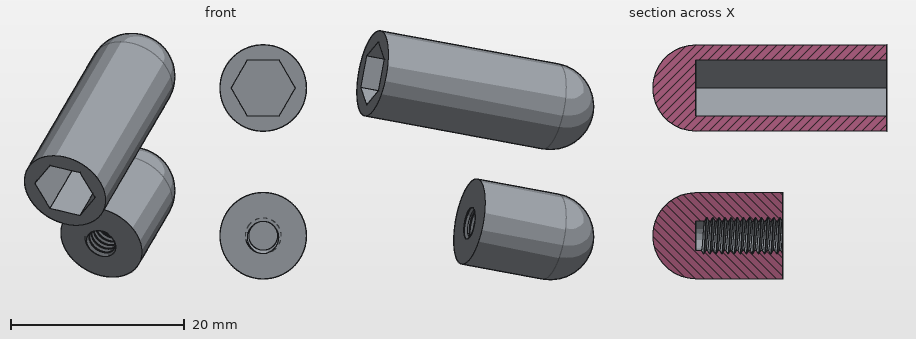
import cadquery as cq
import math

body_diameter = 10.0
body_radius = body_diameter / 2
overall_length = 27.0
overall_height = 27.0

dome_base_y = overall_length - body_radius
long_cap_mouth_y = 0.0
short_cap_length = 15.0
short_cap_mouth_y = overall_length - short_cap_length

short_cap_z = body_radius
long_cap_z = overall_height - body_radius

hex_across_flats = 6.4
hex_across_corners = hex_across_flats / math.cos(math.radians(30))
hex_depth = dome_base_y - long_cap_mouth_y

thread_minor_diameter = 3.32
thread_major_diameter = 4.1
thread_pitch = 0.7
thread_flank_angle = 30.0
thread_root_width = thread_pitch / 12
thread_start_angle = 95.0
groove_overlap = 0.014
hole_depth = dome_base_y - short_cap_mouth_y


def capsule(mouth_y, axis_z):
    """Solid round bar from mouth_y to the dome tip, with its axis at height axis_z."""
    half_outline = (
        cq.Workplane("XY")
        .moveTo(0, mouth_y)
        .lineTo(body_radius, mouth_y)
        .lineTo(body_radius, dome_base_y)
        .radiusArc((0, overall_length), -body_radius)
        .close()
    )
    return half_outline.revolve(360, (0, 0, 0), (0, 1, 0)).translate((0, 0, axis_z))


def mouth_plane(mouth_y, axis_z):
    """Plane on the mouth face, with its normal pointing into the cap."""
    return cq.Plane(origin=(0, mouth_y, axis_z), xDir=(1, 0, 0), normal=(0, 1, 0))


def thread_groove():
    """Helical V groove with a flat root, about Z.

    It is as long as the hole but starts one pitch below Z = 0, to run out through the mouth.
    """
    minor_radius = thread_minor_diameter / 2
    major_radius = thread_major_diameter / 2
    inner_radius = minor_radius - groove_overlap
    flank_slope = math.tan(math.radians(thread_flank_angle))
    root_half = thread_root_width / 2
    mouth_half = root_half + (major_radius - inner_radius) * flank_slope
    helix = cq.Wire.makeHelix(thread_pitch, hole_depth, minor_radius)
    profile = cq.Workplane("XZ").polyline([
        (inner_radius, -mouth_half),
        (major_radius, -root_half),
        (major_radius, root_half),
        (inner_radius, mouth_half),
    ]).close()
    groove = profile.sweep(cq.Workplane(helix), isFrenet=True)
    return groove.translate((0, 0, -thread_pitch))


def make_long_cap():
    socket = (
        cq.Workplane(mouth_plane(long_cap_mouth_y, long_cap_z))
        .polygon(6, hex_across_corners)
        .extrude(hex_depth)
    )
    return capsule(long_cap_mouth_y, long_cap_z).cut(socket)


def make_short_cap():
    bore = (
        cq.Workplane(mouth_plane(short_cap_mouth_y, short_cap_z))
        .circle(thread_minor_diameter / 2)
        .extrude(hole_depth)
    )
    groove = (
        thread_groove()
        .rotate((0, 0, 0), (0, 0, 1), thread_start_angle)
        .rotate((0, 0, 0), (1, 0, 0), -90)
        .translate((0, short_cap_mouth_y, short_cap_z))
    )
    return capsule(short_cap_mouth_y, short_cap_z).cut(bore).cut(groove)


long_cap = make_long_cap()
short_cap = make_short_cap()
result = cq.Compound.makeCompound([long_cap.val(), short_cap.val()])